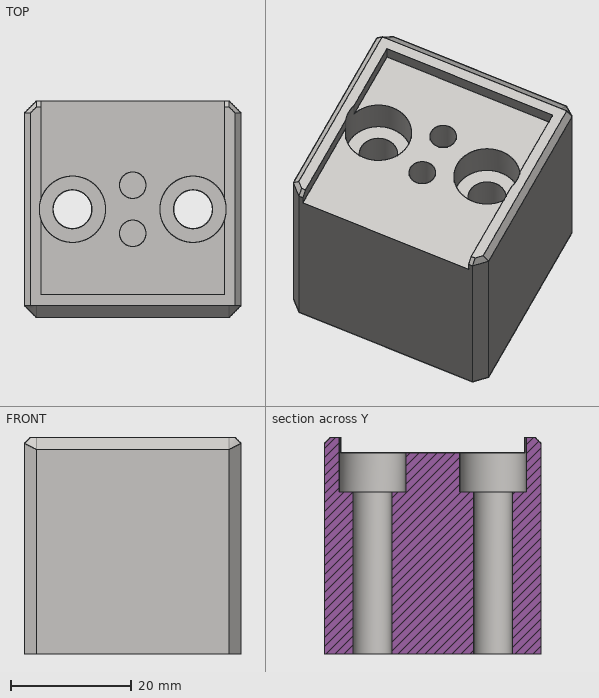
import cadquery as cq

SIZE = 36
HALF = SIZE / 2

LARGE_BEVEL = 2.0
SMALL_BEVEL = LARGE_BEVEL / 2

RECESS_WIDTH = 30.53
RECESS_FRONT_WALL = 3.8
RECESS_DEPTH = 2.52

SCREW_OFFSET = 10.0
SCREW_DIAMETER = 6.4
COUNTERBORE_DIAMETER = 11.0
COUNTERBORE_DEPTH = 6.5

PIN_OFFSET = 4.0
PIN_DIAMETER = 4.4
PIN_DEPTH = COUNTERBORE_DEPTH

FLOOR_Z = SIZE - RECESS_DEPTH


def trim_beyond(body, point, normal):
    """Remove everything on the side of a plane that its normal points to."""
    plane = cq.Plane(origin=point, normal=normal)
    waste = cq.Workplane(plane).rect(2 * SIZE, 2 * SIZE).extrude(SIZE)
    return body.cut(waste)


def bevelled_block():
    """Cube with bevelled upright edges and four bevelled top edges."""
    block = cq.Workplane("XY").box(SIZE, SIZE, SIZE, centered=(True, True, False))
    block = block.edges("|Z").chamfer(LARGE_BEVEL)
    block = trim_beyond(block, (0, -HALF, SIZE - LARGE_BEVEL), (0, -1, 1))
    block = trim_beyond(block, (0, HALF, SIZE - SMALL_BEVEL), (0, 1, 1))
    for side in (-1, 1):
        side_edge = (side * HALF, HALF - LARGE_BEVEL, SIZE - SMALL_BEVEL)
        block = trim_beyond(block, side_edge, (side, 0, 1))
        block = trim_beyond(block, side_edge, (side, 1, 1))
        block = block.cut(front_corner_waste(side))
    return block


def front_corner_waste(side):
    """Pyramid from the cube's sharp corner to a twisted face that joins the front and side bevels."""
    apex = cq.Vector(side * HALF, -HALF, SIZE)
    inset_x = side * (HALF - LARGE_BEVEL)
    inset_y = LARGE_BEVEL - HALF
    side_low = cq.Vector(side * HALF, inset_y, SIZE - SMALL_BEVEL)
    side_high = cq.Vector(side * (HALF - SMALL_BEVEL), inset_y, SIZE)
    front_high = cq.Vector(inset_x, inset_y, SIZE)
    front_low = cq.Vector(inset_x, -HALF, SIZE - LARGE_BEVEL)

    twisted_face = cq.Face.makeRuledSurface(
        cq.Edge.makeLine(side_low, side_high),
        cq.Edge.makeLine(front_low, front_high),
    )
    faces = [twisted_face]
    rim = [side_low, side_high, front_high, front_low]
    for start, end in zip(rim, rim[1:] + rim[:1]):
        triangle = cq.Wire.makePolygon([apex, start, end], close=True)
        faces.append(cq.Face.makeFromWires(triangle))
    return cq.Solid.makeSolid(cq.Shell.makeShell(faces))


def recess():
    """Shallow pocket that runs out through the rear face."""
    length = SIZE - RECESS_FRONT_WALL
    return (
        cq.Workplane("XY", origin=(0, RECESS_FRONT_WALL - HALF, FLOOR_Z))
        .box(RECESS_WIDTH, length, RECESS_DEPTH, centered=(True, False, False))
    )


def drill(x, y, diameter, bottom_z):
    """Vertical cylinder from bottom_z up to the top of the cube."""
    return cq.Workplane("XY", origin=(x, y, bottom_z)).circle(diameter / 2).extrude(SIZE - bottom_z)


result = bevelled_block().cut(recess())
for direction in (-1, 1):
    screw_x = direction * SCREW_OFFSET
    result = result.cut(drill(screw_x, 0, COUNTERBORE_DIAMETER, FLOOR_Z - COUNTERBORE_DEPTH))
    result = result.cut(drill(screw_x, 0, SCREW_DIAMETER, 0))
    result = result.cut(drill(0, direction * PIN_OFFSET, PIN_DIAMETER, FLOOR_Z - PIN_DEPTH))